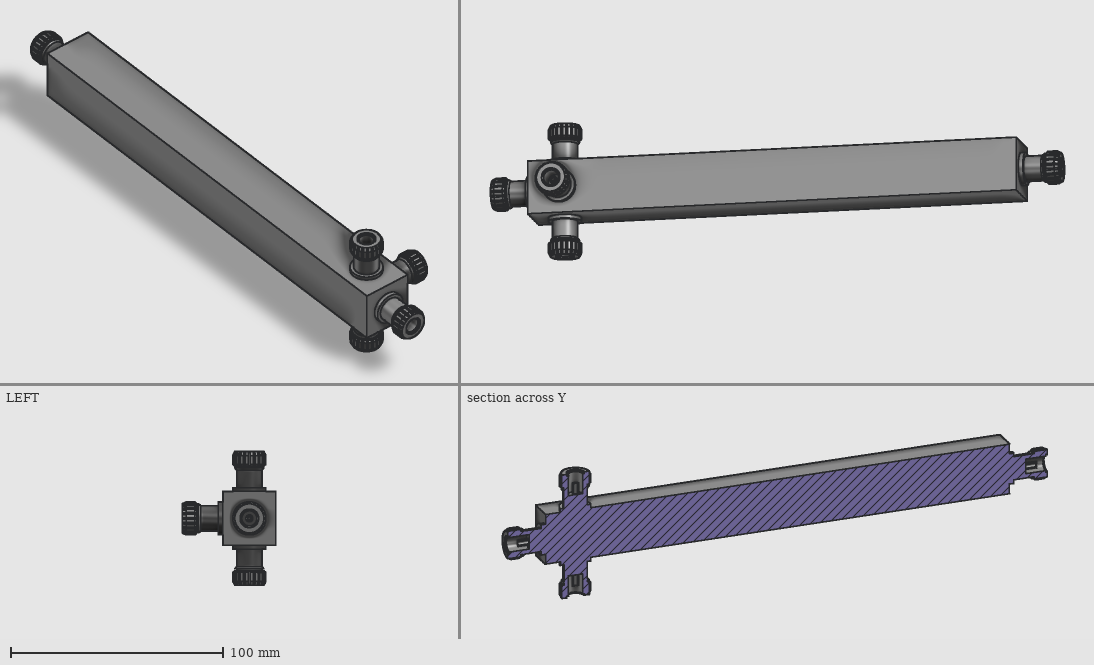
import cadquery as cq

overall_length = 274.0
overall_height = 63.0
body_length = 235.6
body_width = 25.0
body_height = 25.5

connector_length = (overall_length - body_length) / 2
flange_radius = 15.5 / 2
flange_thickness = 2.2
neck_radius = 6.0
collar_start = 10.5
collar_width = 1.0
collar_radius = 6.8
nut_start = 12.3
nut_radius = flange_radius
nut_end_radius = 6.8
nut_back_chamfer = 0.8
nut_front_chamfer = 2.0

mouth_radius = 4.5
mouth_depth = 0.8
bore_radius = 3.5
bore_depth = 11.0
contact_radius = 1.6
contact_hole_radius = 0.8
contact_recess = 5.5

knurl_count = 20
knurl_width = 0.8
knurl_depth = 0.68

port_setback = 15.3
side_port_x = body_length / 2 - port_setback
vertical_seat_inset = (2 * connector_length + body_height - overall_height) / 2


def turned_blank():
    """Flange, neck, conical collar and chamfered nut as one turned profile (radius, height)."""
    collar_end = collar_start + collar_width
    profile = [
        (0, 0),
        (flange_radius, 0),
        (flange_radius, flange_thickness),
        (neck_radius, flange_thickness),
        (neck_radius, collar_start),
        (collar_radius, collar_end),
        (neck_radius, collar_end),
        (neck_radius, nut_start),
        (nut_end_radius, nut_start),
        (nut_radius, nut_start + nut_back_chamfer),
        (nut_radius, connector_length - nut_front_chamfer),
        (nut_end_radius, connector_length),
        (0, connector_length),
    ]
    return cq.Workplane("XZ").polyline(profile).close().revolve(360, (0, 0, 0), (0, 1, 0))


def knurl_grooves():
    """Straight axial grooves spaced evenly around the nut."""
    nut_length = connector_length - nut_start
    return (
        cq.Workplane("XY")
        .workplane(offset=nut_start)
        .polarArray(nut_radius, 0, 360, knurl_count)
        .rect(2 * knurl_depth, knurl_width)
        .extrude(nut_length)
    )


def mouth_cavity():
    """Stepped bore that leaves a recessed tubular contact standing on its floor."""
    floor = connector_length - bore_depth
    bore = cq.Workplane("XY").workplane(offset=floor).circle(bore_radius).extrude(bore_depth)
    mouth = (
        cq.Workplane("XY")
        .workplane(offset=connector_length - mouth_depth)
        .circle(mouth_radius)
        .extrude(mouth_depth)
    )
    contact = (
        cq.Workplane("XY")
        .workplane(offset=floor)
        .circle(contact_radius)
        .circle(contact_hole_radius)
        .extrude(bore_depth - contact_recess)
    )
    return bore.union(mouth).cut(contact)


def place(connector, seat, direction):
    """Stand the connector on a seat point, pointing along the given direction."""
    plane = cq.Plane(origin=seat, normal=direction)
    return cq.Workplane(connector.val().moved(cq.Location(plane)))


connector = turned_blank().cut(knurl_grooves()).cut(mouth_cavity())

end_x = body_length / 2
side_y = body_width / 2
seat_z = body_height / 2 - vertical_seat_inset

ports = [
    ((-end_x, 0, 0), (-1, 0, 0)),
    ((end_x, 0, 0), (1, 0, 0)),
    ((side_port_x, side_y, 0), (0, 1, 0)),
    ((side_port_x, 0, seat_z), (0, 0, 1)),
    ((side_port_x, 0, -seat_z), (0, 0, -1)),
]

result = cq.Workplane("XY").box(body_length, body_width, body_height)
for seat, direction in ports:
    result = result.union(place(connector, seat, direction))